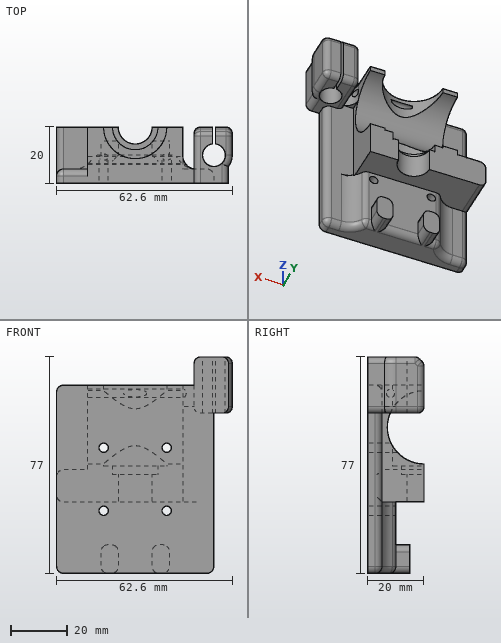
import cadquery as cq
import math

PLATE_WIDTH = 56.0
PLATE_HEIGHT = 67.0
PLATE_THICKNESS = 5.1
EDGE_RADIUS = 2.55
DEPTH = 20.0
CENTER_X = PLATE_WIDTH / 2

SCREW_DIAMETER = 3.2
SCREW_PITCH = 22.4

BLOCK_WIDTH = 33.95
BLOCK_LEFT = CENTER_X - BLOCK_WIDTH / 2
BLOCK_RIGHT = CENTER_X + BLOCK_WIDTH / 2
BLOCK_BOTTOM = 25.4
SHOULDER_TOP = 36.9
WINDOW_RADIUS = 13.0
WINDOW_Z = 52.0
BARREL_RADIUS = 11.25
BARREL_FLOOR = 38.1
FLANGE_RADIUS = 8.1
FLANGE_FLOOR = 35.1
NECK_RADIUS = 6.0
CROSS_HOLE_DIAMETER = 2.9
CROSS_HOLE_Y = 8.1
CROSS_HOLE_Z = 64.1
WEB_RADIUS = 4.6

TOWER_TOP = 77.0
TOWER_HEIGHT = 20.0
TOWER_BOTTOM = TOWER_TOP - TOWER_HEIGHT
TOWER_LEFT = 48.9
TOWER_BASE_RIGHT = 61.1
TOWER_RADIUS = 2.3
ROD_X = PLATE_WIDTH
ROD_Y = DEPTH / 2
ROD_RADIUS = 4.0
CLAMP_RADIUS = 6.55
SLOT_WIDTH = 1.0

PAD_DEPTH = 10.0
PAD_CREST_WIDTH = 26.2
PAD_FLANK_ANGLE = math.radians(60)
LUG_WIDTH = 6.15
LUG_HEIGHT = 10.25
LUG_DEPTH = 15.0


def box(x_range, y_range, z_range):
    """Box between the given (low, high) limits on each axis."""
    size = [high - low for low, high in (x_range, y_range, z_range)]
    corner = (x_range[0], y_range[0], z_range[0])
    return cq.Workplane("XY").box(*size, centered=False).translate(corner)


def vertical_cylinder(x, y, radius, bottom, top):
    return cq.Workplane("XY", origin=(x, y, bottom)).circle(radius).extrude(top - bottom)


def make_plate():
    """Plate and shoulder, with the rear and left-hand edges rounded over."""
    plate = box((0, PLATE_WIDTH), (0, PLATE_THICKNESS), (0, PLATE_HEIGHT)).edges("|Y").fillet(EDGE_RADIUS)
    shoulder = box((0, CENTER_X), (0, DEPTH), (BLOCK_BOTTOM, SHOULDER_TOP))
    body = plate.union(shoulder)
    behind_front = cq.selectors.BoxSelector(
        (-EDGE_RADIUS, EDGE_RADIUS, 0), (EDGE_RADIUS, DEPTH - EDGE_RADIUS, PLATE_HEIGHT)
    )
    return body.faces("<X").edges("|Y or |Z").edges(behind_front).fillet(EDGE_RADIUS)


def make_block():
    return box((BLOCK_LEFT, BLOCK_RIGHT), (0, DEPTH), (BLOCK_BOTTOM, PLATE_HEIGHT))


def make_web():
    """Concave blend that joins the right side of the block to the plate and tower."""
    rise_y = PLATE_THICKNESS + WEB_RADIUS
    bottom = TOWER_BOTTOM + TOWER_RADIUS
    blend = vertical_cylinder(BLOCK_RIGHT + WEB_RADIUS, rise_y, WEB_RADIUS, bottom, PLATE_HEIGHT)
    return box((BLOCK_RIGHT, TOWER_LEFT), (0, rise_y), (bottom, PLATE_HEIGHT)).cut(blend)


def cut_holder(body):
    """Side window, stepped hot-end bore and cross hole of the block."""
    window = (
        cq.Workplane("YZ", origin=(BLOCK_LEFT, DEPTH, WINDOW_Z))
        .circle(WINDOW_RADIUS)
        .extrude(BLOCK_WIDTH)
    )
    cross_hole = (
        cq.Workplane("YZ", origin=(BLOCK_LEFT, CROSS_HOLE_Y, CROSS_HOLE_Z))
        .circle(CROSS_HOLE_DIAMETER / 2)
        .extrude(TOWER_LEFT - BLOCK_LEFT)
    )
    body = body.cut(window).cut(cross_hole)
    steps = (
        (BARREL_RADIUS, BARREL_FLOOR),
        (FLANGE_RADIUS, FLANGE_FLOOR),
        (NECK_RADIUS, BLOCK_BOTTOM),
    )
    for radius, floor in steps:
        body = body.cut(vertical_cylinder(CENTER_X, DEPTH, radius, floor, PLATE_HEIGHT))
    return body


def make_tower():
    """Rounded base with a wider, round-fronted clamp head behind it."""
    base = box((TOWER_LEFT, TOWER_BASE_RIGHT), (0, ROD_Y), (TOWER_BOTTOM, TOWER_TOP))
    base = base.edges("|Y").fillet(TOWER_RADIUS)

    clamp_right = ROD_X + CLAMP_RADIUS
    clamp_front = ROD_Y - CLAMP_RADIUS
    diagonal = CLAMP_RADIUS * math.sqrt(0.5)
    clamp = (
        cq.Workplane("XY", origin=(0, 0, TOWER_BOTTOM))
        .moveTo(TOWER_LEFT, clamp_front)
        .lineTo(ROD_X, clamp_front)
        .threePointArc((ROD_X + diagonal, ROD_Y - diagonal), (clamp_right, ROD_Y))
        .lineTo(clamp_right, DEPTH)
        .lineTo(TOWER_LEFT, DEPTH)
        .close()
        .extrude(TOWER_HEIGHT)
    )
    clamp = clamp.faces(">Y").edges(">Z").chamfer(TOWER_RADIUS)
    clamp = clamp.edges("not <Y").fillet(TOWER_RADIUS)
    return base.union(clamp)


def cut_rod_clamp(body):
    rod = vertical_cylinder(ROD_X, ROD_Y, ROD_RADIUS, TOWER_BOTTOM, TOWER_TOP)
    slot = box(
        (ROD_X - SLOT_WIDTH / 2, ROD_X + SLOT_WIDTH / 2), (ROD_Y, DEPTH), (TOWER_BOTTOM, TOWER_TOP)
    )
    return body.cut(rod).cut(slot)


def make_pad():
    """Pad whose flanks are a convex arc running into a concave arc, with a rounded bottom edge."""
    rise = PAD_DEPTH - PLATE_THICKNESS
    valley_radius = rise / (1 - math.cos(PAD_FLANK_ANGLE)) - EDGE_RADIUS

    def arc_point(radius, angle):
        """Distance run along X and drop along Y on an arc that starts level."""
        return radius * math.sin(angle), radius * (1 - math.cos(angle))

    crest_end = PAD_CREST_WIDTH / 2
    convex_mid = arc_point(EDGE_RADIUS, PAD_FLANK_ANGLE / 2)
    convex_end = arc_point(EDGE_RADIUS, PAD_FLANK_ANGLE)
    concave_mid = arc_point(valley_radius, PAD_FLANK_ANGLE / 2)
    concave_run = arc_point(valley_radius, PAD_FLANK_ANGLE)[0]
    foot = crest_end + convex_end[0] + concave_run

    half_pad = (
        cq.Workplane("XY")
        .moveTo(0, PAD_DEPTH)
        .lineTo(crest_end, PAD_DEPTH)
        .threePointArc(
            (crest_end + convex_mid[0], PAD_DEPTH - convex_mid[1]),
            (crest_end + convex_end[0], PAD_DEPTH - convex_end[1]),
        )
        .threePointArc(
            (foot - concave_mid[0], PLATE_THICKNESS + concave_mid[1]),
            (foot, PLATE_THICKNESS),
        )
        .lineTo(foot, EDGE_RADIUS)
        .lineTo(0, EDGE_RADIUS)
        .close()
        .extrude(BLOCK_BOTTOM)
    )
    half_pad = half_pad.faces("<Z").edges(">Y").fillet(EDGE_RADIUS)
    return half_pad.union(half_pad.mirror("YZ")).translate((CENTER_X, 0, 0))


def make_lugs():
    """Two lugs that leave the line of the neck bore clear between them."""
    lug = box((NECK_RADIUS, NECK_RADIUS + LUG_WIDTH), (EDGE_RADIUS, LUG_DEPTH), (0, LUG_HEIGHT))
    lug = lug.edges("|Y").fillet(EDGE_RADIUS)
    return lug.union(lug.mirror("YZ")).translate((CENTER_X, 0, 0))


def drill_screw_holes(body):
    holes = (
        cq.Workplane("XZ", origin=(CENTER_X, 0, PLATE_HEIGHT / 2))
        .rect(SCREW_PITCH, SCREW_PITCH, forConstruction=True)
        .vertices()
        .circle(SCREW_DIAMETER / 2)
        .extrude(-DEPTH)
    )
    return body.cut(holes)


result = make_plate().union(make_block()).union(make_web())
result = cut_holder(result).union(make_tower())
result = cut_rod_clamp(result)
result = result.union(make_pad()).union(make_lugs())
result = drill_screw_holes(result)